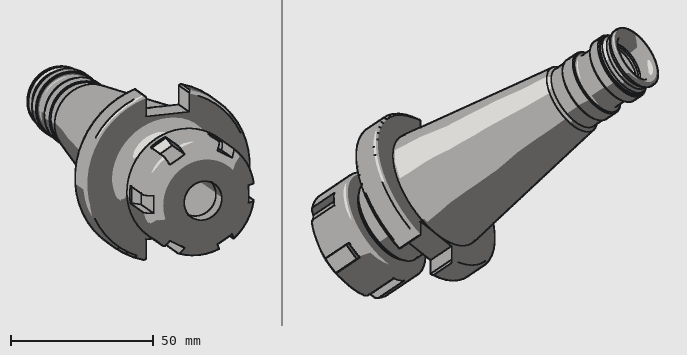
import cadquery as cq
import math


nose_radius = 11.6
nose_edge_fillet = 0.4
nose_groove_radius = 10.8
nose_groove_start = 1.7
nose_groove_floor_start = 2.9
nose_groove_floor_end = 4.3
nose_groove_end = 5.5
collar_radius = 12.5
collar_chamfer = 0.4
rear_collar_start = 6.5
rear_collar_end = 11.1
ring_groove_radius = 10.8
ring_groove_fillet = 0.5
front_collar_start = 18.4
front_collar_end = 24.1
tail_radius = 12.0
tail_end = 29.4

taper_start = 30.5
taper_end = 93.9
taper_start_radius = 13.2
taper_slope = 7 / 48
taper_end_radius = taper_start_radius + taper_slope * (taper_end - taper_start)

flange_radius = 31.3
flange_start = 94.9
flange_end = 104.8
flange_fillet = 1.1
drive_slot_width = 16.0
drive_slot_edge_chamfer = 0.7

neck_radius = 16.0
neck_fillet = 5.0
neck_end = 117.7
neck_chamfer = 0.8
spigot_radius = 14.8
spigot_end = 133.0

bore_radius = 7.0
bore_land_radius = 8.2
bore_land_start = 6.5
bore_land_end = 7.5
bore_cone_end = 9.3
counterbore_radius = 8.6
counterbore_depth = 6.0
mouth_radius = 10.4
mouth_depth = 2.1
mouth_flare = mouth_radius - counterbore_radius
mouth_arc_radius = (mouth_depth**2 + mouth_flare**2) / (2 * mouth_flare)

nut_radius = 21.0
nut_start = 118.4
nut_end = 138.5
nut_rear_fillet = 1.1
nut_cone_start = 135.0
nut_cone_angle = 60.0
nut_shoulder_fillet = 2.0
nut_rim_fillet = 0.5
nut_face_radius = nut_radius - (nut_end - nut_cone_start) * math.tan(math.radians(nut_cone_angle))

spanner_slot_count = 6
spanner_slot_width = 6.4
spanner_slot_floor = 17.9
spanner_slot_step = 0.7
spanner_slot_start = 122.0
spanner_slot_late_start = 124.1
spanner_slot_ramp = 2.8

cut_clearance = 1.4


def revolve_about_x(outline):
    """Turn a closed outline drawn in the XZ plane a full turn about the X axis."""
    return outline.close().revolve(360, (0, 0, 0), (1, 0, 0))


def make_blank():
    """Turned outside of the holder, solid to the axis."""
    outline = (
        cq.Workplane("XZ")
        .moveTo(0, 0)
        .lineTo(0, nose_radius - nose_edge_fillet)
        .radiusArc((nose_edge_fillet, nose_radius), nose_edge_fillet)
        .lineTo(nose_groove_start, nose_radius)
        .lineTo(nose_groove_floor_start, nose_groove_radius)
        .lineTo(nose_groove_floor_end, nose_groove_radius)
        .lineTo(nose_groove_end, nose_radius)
        .lineTo(rear_collar_start, nose_radius)
        .lineTo(rear_collar_start, collar_radius - collar_chamfer)
        .lineTo(rear_collar_start + collar_chamfer, collar_radius)
        .lineTo(rear_collar_end - collar_chamfer, collar_radius)
        .lineTo(rear_collar_end, collar_radius - collar_chamfer)
        .lineTo(rear_collar_end, ring_groove_radius + ring_groove_fillet)
        .radiusArc((rear_collar_end + ring_groove_fillet, ring_groove_radius), -ring_groove_fillet)
        .lineTo(front_collar_start - ring_groove_fillet, ring_groove_radius)
        .radiusArc((front_collar_start, ring_groove_radius + ring_groove_fillet), -ring_groove_fillet)
        .lineTo(front_collar_start, collar_radius - collar_chamfer)
        .lineTo(front_collar_start + collar_chamfer, collar_radius)
        .lineTo(front_collar_end - collar_chamfer, collar_radius)
        .lineTo(front_collar_end, tail_radius)
        .lineTo(tail_end, tail_radius)
        .lineTo(taper_start, taper_start_radius)
        .lineTo(taper_end, taper_end_radius)
        .lineTo(flange_start, taper_end_radius)
        .lineTo(flange_start, flange_radius - flange_fillet)
        .radiusArc((flange_start + flange_fillet, flange_radius), flange_fillet)
        .lineTo(flange_end - flange_fillet, flange_radius)
        .radiusArc((flange_end, flange_radius - flange_fillet), flange_fillet)
        .lineTo(flange_end, neck_radius + neck_fillet)
        .radiusArc((flange_end + neck_fillet, neck_radius), -neck_fillet)
        .lineTo(neck_end - neck_chamfer, neck_radius)
        .lineTo(neck_end, neck_radius - neck_chamfer)
        .lineTo(neck_end, spigot_radius)
        .lineTo(spigot_end, spigot_radius)
        .lineTo(spigot_end, 0)
    )
    return revolve_about_x(outline)


def make_bore():
    """Stepped bore with a rounded mouth at the tail."""
    outline = (
        cq.Workplane("XZ")
        .moveTo(0, 0)
        .lineTo(0, mouth_radius)
        .radiusArc((mouth_depth, counterbore_radius), -mouth_arc_radius)
        .lineTo(counterbore_depth, counterbore_radius)
        .lineTo(bore_land_start, bore_land_radius)
        .lineTo(bore_land_end, bore_land_radius)
        .lineTo(bore_cone_end, bore_radius)
        .lineTo(spigot_end, bore_radius)
        .lineTo(spigot_end, 0)
    )
    return revolve_about_x(outline)


def make_drive_slot():
    """Slot across the flange at +Z, widened at the rim by its edge chamfers."""
    half_width = drive_slot_width / 2
    rim_half_width = half_width + drive_slot_edge_chamfer
    rim_height = math.sqrt(flange_radius**2 - rim_half_width**2)
    chamfer_bottom = rim_height - drive_slot_edge_chamfer
    top = flange_radius + cut_clearance
    top_half_width = half_width + top - chamfer_bottom
    return (
        cq.Workplane("YZ", origin=(flange_start, 0, 0))
        .moveTo(-half_width, taper_end_radius)
        .lineTo(half_width, taper_end_radius)
        .lineTo(half_width, chamfer_bottom)
        .lineTo(top_half_width, top)
        .lineTo(-top_half_width, top)
        .lineTo(-half_width, chamfer_bottom)
        .close()
        .extrude(flange_end - flange_start)
    )


def make_holder():
    """Holder: turned blank, stepped bore and two opposite driving slots."""
    body = make_blank().cut(make_bore())
    slot = make_drive_slot()
    for angle in (0, 180):
        body = body.cut(slot.rotate((0, 0, 0), (1, 0, 0), angle))
    return body


def make_nut_blank():
    """Turned nut with a socket for the spigot and a bore through its face."""
    cone_angle = math.radians(nut_cone_angle)
    cone_cos = math.cos(cone_angle)
    cone_sin = math.sin(cone_angle)
    shoulder_tangent = nut_shoulder_fillet * math.tan(cone_angle / 2)
    rim_tangent = nut_rim_fillet * math.tan((math.pi / 2 - cone_angle) / 2)
    outline = (
        cq.Workplane("XZ")
        .moveTo(nut_start, spigot_radius)
        .lineTo(nut_start, nut_radius - nut_rear_fillet)
        .radiusArc((nut_start + nut_rear_fillet, nut_radius), nut_rear_fillet)
        .lineTo(nut_cone_start - shoulder_tangent, nut_radius)
        .radiusArc(
            (nut_cone_start + shoulder_tangent * cone_cos, nut_radius - shoulder_tangent * cone_sin),
            nut_shoulder_fillet,
        )
        .lineTo(nut_end - rim_tangent * cone_cos, nut_face_radius + rim_tangent * cone_sin)
        .radiusArc((nut_end, nut_face_radius - rim_tangent), nut_rim_fillet)
        .lineTo(nut_end, bore_radius)
        .lineTo(spigot_end, bore_radius)
        .lineTo(spigot_end, spigot_radius)
    )
    return revolve_about_x(outline)


def make_spanner_slot(start):
    """Flat-floored slot at +Y, open at the front, with a step and a ramp at its rear."""
    top = nut_radius + cut_clearance
    return (
        cq.Workplane("XY")
        .moveTo(start, top)
        .lineTo(start, nut_radius - spanner_slot_step)
        .lineTo(start + spanner_slot_ramp, spanner_slot_floor)
        .lineTo(nut_end, spanner_slot_floor)
        .lineTo(nut_end, top)
        .close()
        .extrude(spanner_slot_width / 2, both=True)
    )


def make_nut():
    """Nut with six spanner slots; the three on the +Y half start further forward."""
    body = make_nut_blank()
    for index in range(spanner_slot_count):
        angle = index * 360 / spanner_slot_count
        faces_plus_y = math.cos(math.radians(angle)) > 0
        start = spanner_slot_late_start if faces_plus_y else spanner_slot_start
        body = body.cut(make_spanner_slot(start).rotate((0, 0, 0), (1, 0, 0), angle))
    return body


holder = make_holder()
nut = make_nut()

result = cq.Compound.makeCompound([holder.val(), nut.val()])